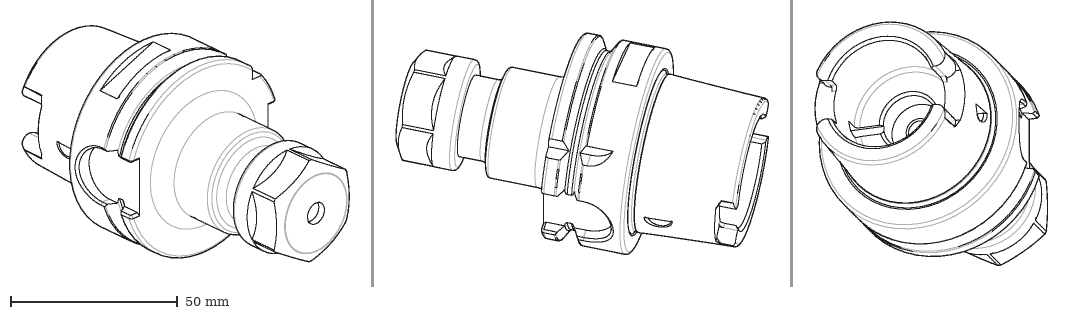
import cadquery as cq
import math

total_length = 107.0

shank_end_radius = 22.8
taper_slope = 0.05
shank_end_round = 1.0
taper_end_x = 30.3
relief_radius = 48.3 / 2
relief_front_x = 31.2
face_recess_radius = 51.3 / 2
face_recess_depth = 0.2

flange_radius = 63.0 / 2
flange_rear_x = 32.0
flange_front_x = 57.9
flange_edge_round = 1.0
groove_radius = 54.9 / 2
groove_center_x = 49.9
groove_floor_width = 2.4
groove_half_angle = 30.0
groove_floor_fillet = 0.9
groove_mouth_round = 0.5

shoulder_radius = 17.0
shoulder_fillet = 5.0
shoulder_front_x = 78.4
shoulder_edge_round = 1.0
shoulder_cone_length = 0.5
neck_radius = 12.5
neck_fillet = 2.0

bore_radius = 17.0
bore_depth = 25.0
bore_mouth_chamfer = 1.0
bore_floor_fillet = 1.3
seat_radius = 8.6
seat_depth = 8.6
seat_chamfer = 1.0
through_radius = 7.0 / 2
through_chamfer = 0.5

drive_slot_half_width = 6.2
drive_slot_mouth_round = 3.0
drive_slot_corner_round = 1.4
drive_slot_flare_length = 2.6
front_slot_depth = 10.1
back_slot_depth = 5.8

wall_hole_x = 22.8
wall_hole_radius = 3.6
wall_hole_mouth_radius = 4.3

keyway_half_width = 8.9
keyway_floor = 26.5
keyway_rear_x = 35.8
keyway_chamfer = 0.9

label_rear_x = 35.7
label_length = 7.5
label_distance = 29.2
label_tilt = 22.0

notch_offset = 20.1
notch_straight_x = 44.9
notch_runout_radius = 7.9

nut_rear_x = 88.1
hex_rear_x = 94.9
hex_chamfer_x = 104.5
nut_radius = 17.0
nut_rear_round = 1.3
hex_half_flats = 15.0
hex_chamfer_angle = 30.0
nut_front_round = 0.4

clearance = 1.1
pick_margin = 0.1


def revolve_about_x(profile):
    """Turn a closed (x, radius) profile about the X axis."""
    return profile.close().revolve(360, (0, 0, 0), (1, 0, 0))


def cylinder_x(radius, start, end):
    return cq.Workplane("YZ", origin=(start, 0, 0)).circle(radius).extrude(end - start)


def make_blank():
    """Turned outside of the holder, from the shank to the neck inside the nut."""
    recess_x = flange_rear_x + face_recess_depth
    relief_fillet = recess_x - relief_front_x
    taper_end_radius = shank_end_radius + taper_slope * taper_end_x
    round_end_radius = shank_end_radius + taper_slope * shank_end_round
    neck_fillet_x = shoulder_front_x + shoulder_cone_length
    profile = (
        cq.Workplane("XY")
        .moveTo(0, 0)
        .lineTo(0, shank_end_radius - shank_end_round)
        .radiusArc((shank_end_round, round_end_radius), shank_end_round)
        .lineTo(taper_end_x, taper_end_radius)
        .lineTo(taper_end_x + taper_end_radius - relief_radius, relief_radius)
        .lineTo(relief_front_x, relief_radius)
        .radiusArc((recess_x, relief_radius + relief_fillet), -relief_fillet)
        .lineTo(flange_rear_x, face_recess_radius)
        .lineTo(flange_rear_x, flange_radius - flange_edge_round)
        .radiusArc((flange_rear_x + flange_edge_round, flange_radius), flange_edge_round)
        .lineTo(flange_front_x - flange_edge_round, flange_radius)
        .radiusArc((flange_front_x, flange_radius - flange_edge_round), flange_edge_round)
        .lineTo(flange_front_x, shoulder_radius + shoulder_fillet)
        .radiusArc((flange_front_x + shoulder_fillet, shoulder_radius), -shoulder_fillet)
        .lineTo(shoulder_front_x - shoulder_edge_round, shoulder_radius)
        .radiusArc((shoulder_front_x, shoulder_radius - shoulder_edge_round), shoulder_edge_round)
        .lineTo(neck_fillet_x, neck_radius + neck_fillet)
        .radiusArc((neck_fillet_x + neck_fillet, neck_radius), -neck_fillet)
        .lineTo(hex_chamfer_x, neck_radius)
        .lineTo(hex_chamfer_x, 0)
    )
    return revolve_about_x(profile)


def make_gripper_groove():
    """V-groove cutter with a rounded floor and rounded-over mouth edges."""
    depth = flange_radius - groove_radius
    half_floor = groove_floor_width / 2
    slope = math.radians(groove_half_angle)
    half_mouth = half_floor + depth * math.tan(slope)
    bend = math.tan(math.pi / 4 - slope / 2)
    mouth_setback = groove_mouth_round * bend
    floor_setback = groove_floor_fillet * bend
    slope_top = (half_mouth - mouth_setback * math.sin(slope), flange_radius - mouth_setback * math.cos(slope))
    slope_foot = (half_floor + floor_setback * math.sin(slope), groove_radius + floor_setback * math.cos(slope))
    mouth_end = half_mouth + mouth_setback
    floor_end = half_floor - floor_setback
    profile = (
        cq.Workplane("XY", origin=(groove_center_x, 0, 0))
        .moveTo(-mouth_end, flange_radius)
        .lineTo(mouth_end, flange_radius)
        .radiusArc(slope_top, -groove_mouth_round)
        .lineTo(*slope_foot)
        .radiusArc((floor_end, groove_radius), groove_floor_fillet)
        .lineTo(-floor_end, groove_radius)
        .radiusArc((-slope_foot[0], slope_foot[1]), groove_floor_fillet)
        .lineTo(-slope_top[0], slope_top[1])
        .radiusArc((-mouth_end, flange_radius), -groove_mouth_round)
    )
    return revolve_about_x(profile)


def make_bore():
    """Stepped bore: wide rear bore, seat and through hole."""
    seat_end = bore_depth + seat_depth
    profile = (
        cq.Workplane("XY")
        .moveTo(0, 0)
        .lineTo(0, bore_radius + bore_mouth_chamfer)
        .lineTo(bore_mouth_chamfer, bore_radius)
        .lineTo(bore_depth - bore_floor_fillet, bore_radius)
        .radiusArc((bore_depth, bore_radius - bore_floor_fillet), bore_floor_fillet)
        .lineTo(bore_depth, seat_radius + seat_chamfer)
        .lineTo(bore_depth + seat_chamfer, seat_radius)
        .lineTo(seat_end, seat_radius)
        .lineTo(seat_end, through_radius + through_chamfer)
        .lineTo(seat_end + through_chamfer, through_radius)
        .lineTo(total_length, through_radius)
        .lineTo(total_length, 0)
    )
    return revolve_about_x(profile)


def make_drive_slot(depth, side):
    """Slot through the shank wall with rounded mouth edges; side is -1 or +1 along Y."""
    half = drive_slot_half_width
    mouth_round = drive_slot_mouth_round
    round_center_z = half + mouth_round
    round_center_y = math.sqrt((shank_end_radius - mouth_round) ** 2 - round_center_z**2)
    mouth_angle = math.atan2(round_center_z, round_center_y)
    mouth_y = shank_end_radius * math.cos(mouth_angle)
    mouth_z = shank_end_radius * math.sin(mouth_angle)
    straight_slot = (
        cq.Workplane("XY")
        .box(2 * depth, flange_radius, 2 * half, centered=(True, False, True))
        .edges(">X and |Y")
        .fillet(drive_slot_corner_round)
    )
    flare = (
        cq.Workplane("YZ", origin=(-clearance, 0, 0))
        .moveTo(round_center_y, -half)
        .radiusArc((mouth_y, -mouth_z), mouth_round)
        .lineTo(flange_radius, -mouth_z)
        .lineTo(flange_radius, mouth_z)
        .lineTo(mouth_y, mouth_z)
        .radiusArc((round_center_y, half), mouth_round)
        .close()
        .extrude(depth + clearance)
    )
    beveled_plan = (
        cq.Workplane("XY")
        .box(2 * depth, flange_radius, 2 * mouth_z, centered=(True, False, True))
        .edges(">X and |Y")
        .chamfer(drive_slot_flare_length, drive_slot_corner_round)
    )
    slot = straight_slot.union(flare.intersect(beveled_plan))
    if side < 0:
        slot = slot.mirror("XZ")
    return slot


def make_wall_hole():
    """Cutter for the lower halves of two opposite countersunk holes."""
    sink = wall_hole_mouth_radius - wall_hole_radius
    surface_y = shank_end_radius + taper_slope * wall_hole_x
    half_hole = (
        cq.Workplane("XY", origin=(wall_hole_x, 0, 0))
        .moveTo(0, 0)
        .lineTo(wall_hole_radius, 0)
        .lineTo(wall_hole_radius, surface_y - sink)
        .lineTo(wall_hole_mouth_radius + sink, surface_y + sink)
        .lineTo(0, surface_y + sink)
        .close()
        .revolve(180, (0, 0, 0), (0, 1, 0))
    )
    return half_hole.union(half_hole.mirror("XZ"))


def make_keyway(side):
    """Round-ended keyway open toward +X; side is -1 or +1 along Y."""
    end_center_x = keyway_rear_x + keyway_half_width
    open_end_x = flange_front_x + clearance
    keyway = (
        cq.Workplane("XZ", origin=(0, -keyway_floor, 0))
        .moveTo(open_end_x, -keyway_half_width)
        .lineTo(end_center_x, -keyway_half_width)
        .threePointArc((keyway_rear_x, 0), (end_center_x, keyway_half_width))
        .lineTo(open_end_x, keyway_half_width)
        .close()
        .extrude(flange_radius - keyway_floor + clearance)
    )
    if side > 0:
        keyway = keyway.mirror("XZ")
    return keyway


def chamfer_keyways(body):
    """Chamfer the edges where the keyway walls meet the outside of the flange."""
    mid_wall_y = (keyway_floor + flange_radius) / 2
    edges = [
        edge
        for edge in body.edges().vals()
        if abs(edge.Center().y) > mid_wall_y
        and abs(edge.Center().z) < keyway_half_width + pick_margin
        and keyway_rear_x < edge.Center().x < flange_front_x
    ]
    return body.newObject(edges).chamfer(keyway_chamfer)


def make_label_flat():
    """Block that cuts a tilted rectangular flat into the flange."""
    return (
        cq.Workplane("XY")
        .box(label_length, 2 * flange_radius, flange_radius, centered=(False, True, False))
        .translate((label_rear_x, 0, label_distance))
        .rotate((0, 0, 0), (1, 0, 0), label_tilt)
    )


def make_orientation_notch():
    """Square-cornered notch at +Y +Z whose floor runs out along an arc."""
    end_x = flange_front_x + clearance
    runout_x = notch_straight_x - notch_runout_radius
    size = flange_radius - notch_offset
    return (
        cq.Workplane("XZ", origin=(0, notch_offset, 0))
        .moveTo(end_x, notch_offset)
        .lineTo(notch_straight_x, notch_offset)
        .radiusArc((runout_x, notch_offset + notch_runout_radius), notch_runout_radius)
        .lineTo(runout_x, notch_offset + size)
        .lineTo(end_x, notch_offset + size)
        .close()
        .extrude(-size)
    )


def make_holder():
    holder = make_blank()
    for side in (-1, 1):
        holder = holder.cut(make_keyway(side))
    holder = chamfer_keyways(holder)
    holder = holder.cut(make_gripper_groove())
    holder = holder.cut(make_bore())
    holder = holder.cut(make_drive_slot(front_slot_depth, -1))
    holder = holder.cut(make_drive_slot(back_slot_depth, 1))
    holder = holder.cut(make_wall_hole())
    holder = holder.cut(make_label_flat())
    return holder.cut(make_orientation_notch())


def make_nut():
    """Clamping nut: round collar at the rear, chamfered hexagon at the front."""
    cone_run = total_length - hex_chamfer_x
    front_radius = nut_radius - cone_run / math.tan(math.radians(hex_chamfer_angle))
    profile = (
        cq.Workplane("XY")
        .moveTo(nut_rear_x, 0)
        .lineTo(nut_rear_x, nut_radius - nut_rear_round)
        .radiusArc((nut_rear_x + nut_rear_round, nut_radius), nut_rear_round)
        .lineTo(hex_chamfer_x, nut_radius)
        .lineTo(total_length, front_radius)
        .lineTo(total_length, 0)
    )
    turned = revolve_about_x(profile).faces(">X").edges().fillet(nut_front_round)
    hexagon = (
        cq.Workplane("YZ", origin=(nut_rear_x, 0, 0))
        .polygon(6, 2 * hex_half_flats, circumscribed=True)
        .extrude(total_length - nut_rear_x)
    )
    collar_cone_end_x = hex_rear_x + nut_radius - neck_radius
    collar = revolve_about_x(
        cq.Workplane("XY")
        .moveTo(nut_rear_x, 0)
        .lineTo(nut_rear_x, nut_radius)
        .lineTo(hex_rear_x, nut_radius)
        .lineTo(collar_cone_end_x, neck_radius)
        .lineTo(collar_cone_end_x, 0)
    )
    nut = turned.intersect(hexagon.union(collar))
    nut = nut.cut(cylinder_x(neck_radius, nut_rear_x, hex_chamfer_x))
    return nut.cut(cylinder_x(through_radius, hex_chamfer_x, total_length))


holder = make_holder()
nut = make_nut()
result = cq.Compound.makeCompound([holder.val(), nut.val()])